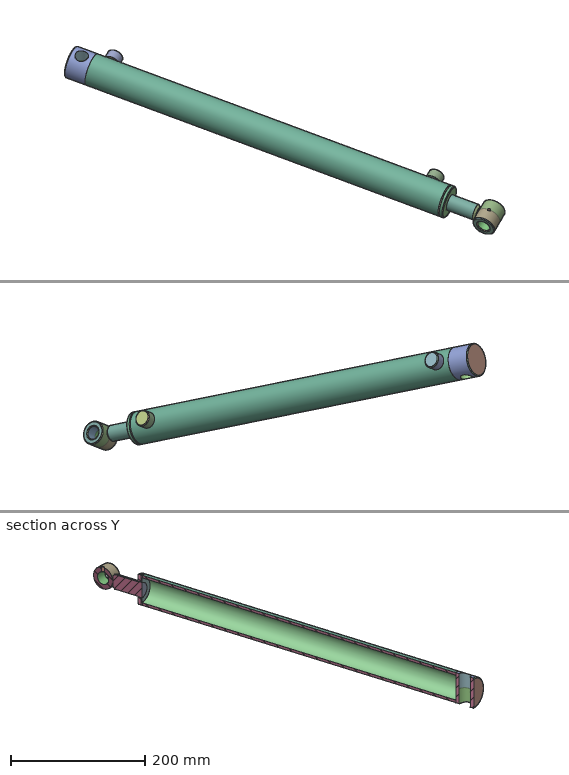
import cadquery as cq

overall_length = 705.0
barrel_diameter = 50.0
barrel_radius = barrel_diameter / 2

cap_length = 34.5
cap_chamfer = 1.5
pin_hole_x = 17.5
pin_hole_diameter = 20.0

tube_wall = 5.0
tube_end_x = 615.0

ring_length = 2.0
ring_end_x = tube_end_x + ring_length
gland_end_x = 622.5
gland_chamfer = 1.5

port_diameter = 25.0
port_height = 15.0
port_chamfer = 1.5
port_centres_x = (55.0, 583.0)

eye_diameter = 36.0
eye_width = 39.5
eye_bore_diameter = 20.0
eye_chamfer = 1.5
grease_hole_diameter = 4.0
eye_centre_x = overall_length - eye_diameter / 2

rod_diameter = 25.0
rod_end_x = overall_length - eye_diameter
rod_chamfer = 3.5


def bar_along_x(diameter, start_x, end_x):
    """A round bar on the cylinder axis."""
    return cq.Workplane("YZ", origin=(start_x, 0, 0)).circle(diameter / 2).extrude(end_x - start_x)


def pipe_along_x(outer_diameter, inner_diameter, start_x, end_x):
    """A round pipe on the cylinder axis."""
    return bar_along_x(outer_diameter, start_x, end_x).cut(bar_along_x(inner_diameter, start_x, end_x))


def make_cap():
    cap = bar_along_x(barrel_diameter, 0, cap_length).faces("<X").chamfer(cap_chamfer)
    pin_hole = (
        cq.Workplane("XY", origin=(pin_hole_x, 0, 0))
        .circle(pin_hole_diameter / 2)
        .extrude(barrel_radius, both=True)
    )
    return cap.cut(pin_hole)


def make_tube():
    return pipe_along_x(barrel_diameter, barrel_diameter - 2 * tube_wall, cap_length, tube_end_x)


def make_ring():
    return pipe_along_x(barrel_diameter, rod_diameter, tube_end_x, ring_end_x)


def make_gland():
    gland = bar_along_x(barrel_diameter, ring_end_x, gland_end_x).faces(">X").chamfer(gland_chamfer)
    return gland.cut(bar_along_x(rod_diameter, ring_end_x, gland_end_x))


def make_rod():
    return bar_along_x(rod_diameter, tube_end_x, rod_end_x).faces(">X").chamfer(rod_chamfer)


def make_eye():
    eye = (
        cq.Workplane("XZ", origin=(eye_centre_x, 0, 0))
        .circle(eye_diameter / 2)
        .circle(eye_bore_diameter / 2)
        .extrude(eye_width / 2, both=True)
        .faces("<Y or >Y")
        .chamfer(eye_chamfer)
    )
    grease_hole = (
        cq.Workplane("XY", origin=(eye_centre_x, 0, 0))
        .circle(grease_hole_diameter / 2)
        .extrude(eye_diameter / 2)
    )
    return eye.cut(grease_hole)


def make_port(centre_x):
    port_base = cq.Workplane("XZ", origin=(centre_x, barrel_radius, 0)).circle(port_diameter / 2)
    return port_base.extrude(-port_height).faces(">Y").chamfer(port_chamfer)


cap = make_cap()
tube = make_tube()
ring = make_ring()
gland = make_gland()
rod = make_rod()
eye = make_eye()
ports = [make_port(centre_x) for centre_x in port_centres_x]

result = cq.Compound.makeCompound(
    [
        cap.val(),
        tube.val(),
        ring.val(),
        gland.val(),
        rod.val(),
        eye.val(),
        *[port.val() for port in ports],
    ]
)